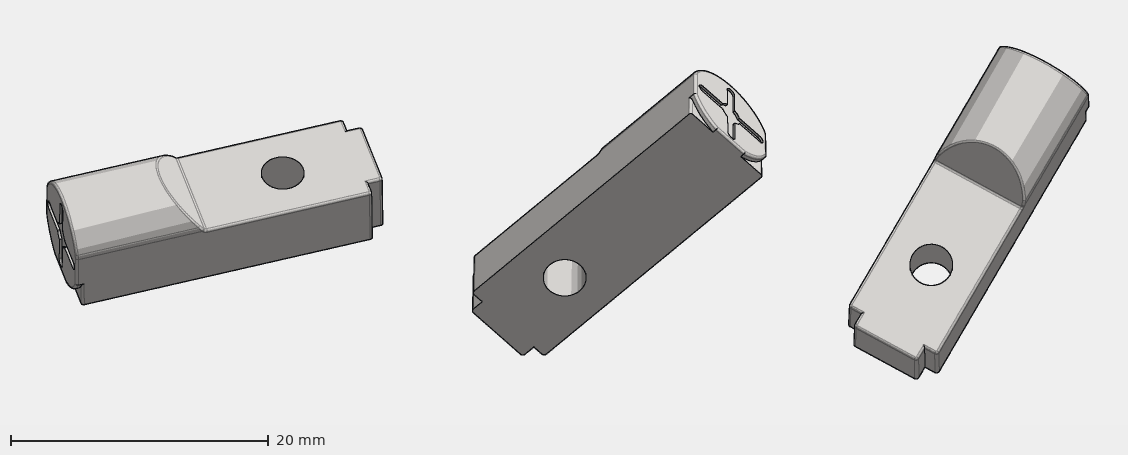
import cadquery as cq
import math

FOOT_WIDTH = 8.04
LENGTH = 25.32
HEIGHT = 8.29
DRAFT_ANGLE = 0.5

TONGUE_WIDTH = 5.76
TONGUE_LENGTH = 1.2
HOLE_DIAMETER = 3.32
HOLE_TO_TONGUE_END = 7.32

DECK_HEIGHT = 5.38
RAMP_START = 14.75
RAMP_ANGLE = 49.0

HEAD_CENTRE_HEIGHT = 4.0
HEAD_RADIUS = HEIGHT - HEAD_CENTRE_HEIGHT
CORNER_POCKET_DEPTH = 0.5

CROSS_SPAN = 7.1
SLOT_WIDTH = 0.8
CROSS_HUB_DIAMETER = 2.0
CROSS_DEPTH = 0.2

EDGE_RADIUS = 0.2
CORNER_RADIUS = 0.25
FRONT_EDGE_RADIUS = 0.2
SHOULDER_RADIUS = 1.0

TONGUE_END = HOLE_TO_TONGUE_END
SHOULDER = TONGUE_END - TONGUE_LENGTH
FRONT = TONGUE_END - LENGTH
RAMP_FOOT = TONGUE_END - RAMP_START
RAMP_TOP = RAMP_FOOT - (HEIGHT - DECK_HEIGHT) / math.tan(math.radians(RAMP_ANGLE))
DRAFT_SLOPE = math.tan(math.radians(DRAFT_ANGLE))
CROSS_FACE = FRONT + HEAD_CENTRE_HEIGHT * DRAFT_SLOPE
POCKET_BACK = FRONT + CORNER_POCKET_DEPTH
CLEARANCE = 1.0


def near(x, y, z):
    return cq.selectors.NearestToPointSelector((x, y, z))


def arched_bar():
    """Bar along Y: drafted side walls blended into a round top."""
    half = FOOT_WIDTH / 2
    bar = cq.Workplane("XZ", origin=(0, TONGUE_END, 0))
    half_top = half - HEIGHT * DRAFT_SLOPE
    walls = [(-half, 0), (half, 0), (half_top, HEIGHT), (-half_top, HEIGHT)]
    bar = bar.polyline(walls).close().extrude(LENGTH)
    bar = bar.cut(arch_waste())
    edge_height = HEAD_CENTRE_HEIGHT + math.sqrt(HEAD_RADIUS**2 - half**2)
    middle = (FRONT + TONGUE_END) / 2
    for x in (-half, half):
        bar = bar.edges(near(x, middle, edge_height)).fillet(SHOULDER_RADIUS)
    return bar


def head_cylinder(start, end):
    """Round bar along Y that shapes the head, between two Y positions."""
    plane = cq.Workplane("XZ", origin=(0, end, HEAD_CENTRE_HEIGHT))
    return plane.circle(HEAD_RADIUS).extrude(end - start)


def box_between(low, high):
    size = [b - a for a, b in zip(low, high)]
    return cq.Workplane("XY").box(*size, centered=False).translate(low)


def arch_waste():
    """Material above the head centre and outside the round head."""
    wide = FOOT_WIDTH / 2 + CLEARANCE
    start = FRONT - CLEARANCE
    end = TONGUE_END + CLEARANCE
    upper = box_between((-wide, start, HEAD_CENTRE_HEIGHT), (wide, end, HEIGHT + CLEARANCE))
    return upper.cut(head_cylinder(start - CLEARANCE, end + CLEARANCE))


def side_profile():
    """Outline along the length: drafted ends, low deck and ramp up to the head."""
    profile = [
        (FRONT, 0),
        (TONGUE_END, 0),
        (TONGUE_END - DECK_HEIGHT * DRAFT_SLOPE, DECK_HEIGHT),
        (RAMP_FOOT, DECK_HEIGHT),
        (RAMP_TOP, HEIGHT),
        (FRONT + HEIGHT * DRAFT_SLOPE, HEIGHT),
    ]
    return cq.Workplane("YZ").polyline(profile).close().extrude(FOOT_WIDTH, both=True)


def tongue_notch(side):
    """Drafted corner block beside the tongue, widening upward."""
    width = FOOT_WIDTH - TONGUE_WIDTH
    length = 2 * TONGUE_LENGTH
    growth = 2 * HEIGHT * DRAFT_SLOPE
    centre = (side * FOOT_WIDTH / 2, SHOULDER + TONGUE_LENGTH)
    notch = cq.Workplane("XY").center(*centre).rect(width, length)
    return notch.workplane(offset=HEIGHT).rect(width + growth, length + growth).loft()


def corner_pocket_waste():
    """Lower front corners outside the round head."""
    wide = FOOT_WIDTH / 2 + CLEARANCE
    start = FRONT - CLEARANCE
    lower = box_between((-wide, start, -CLEARANCE), (wide, POCKET_BACK, HEAD_CENTRE_HEIGHT))
    return lower.cut(head_cylinder(start - CLEARANCE, POCKET_BACK + CLEARANCE))


def cross_recess():
    """Two crossed round-ended slots and a round hub, sunk in the front face."""
    plane = cq.Workplane("XZ", origin=(0, CROSS_FACE + CROSS_DEPTH, HEAD_CENTRE_HEIGHT))
    depth = CROSS_DEPTH + CLEARANCE
    recess = plane.circle(CROSS_HUB_DIAMETER / 2).extrude(depth)
    for angle in (0, 90):
        recess = recess.union(plane.slot2D(CROSS_SPAN, SLOT_WIDTH, angle).extrude(depth))
    return recess


def edges_inside(body, low, high):
    """Edges whose centres lie in the box between two corners."""
    return body.edges(cq.selectors.BoxSelector(low, high))


def round_rear_corners(body):
    """Upright convex corners of the tongue and of the shoulders."""
    for side in (-1, 1):
        for x, y in ((FOOT_WIDTH / 2, SHOULDER), (TONGUE_WIDTH / 2, TONGUE_END)):
            body = body.edges(near(side * x, y, DECK_HEIGHT / 2)).fillet(CORNER_RADIUS)
    return body


def round_front(body):
    """Rim of the front face and the upright corners behind the pockets."""
    for side in (-1, 1):
        body = body.edges(near(side * FOOT_WIDTH / 2, POCKET_BACK, 0)).fillet(EDGE_RADIUS)
    rim = edges_inside(
        body,
        (-FOOT_WIDTH, FRONT - CLEARANCE, -CLEARANCE),
        (FOOT_WIDTH, FRONT + FRONT_EDGE_RADIUS, HEIGHT + CLEARANCE),
    )
    return rim.fillet(FRONT_EDGE_RADIUS)


def round_deck_and_ramp(body):
    """Foot of the ramp, then the rim of the deck and ramp together."""
    body = body.edges(near(0, RAMP_FOOT, DECK_HEIGHT)).fillet(CORNER_RADIUS)
    rim = edges_inside(
        body,
        (-FOOT_WIDTH, RAMP_TOP, DECK_HEIGHT - EDGE_RADIUS / 2),
        (FOOT_WIDTH, TONGUE_END, HEIGHT + CLEARANCE),
    )
    return rim.fillet(EDGE_RADIUS)


def lever_body():
    body = arched_bar().intersect(side_profile())
    body = body.cut(corner_pocket_waste())
    for side in (-1, 1):
        body = body.cut(tongue_notch(side))
    body = round_rear_corners(body)
    body = round_deck_and_ramp(body)
    body = round_front(body)
    body = body.cut(cross_recess())
    hole = cq.Workplane("XY").circle(HOLE_DIAMETER / 2).extrude(HEIGHT)
    return body.cut(hole)


body = lever_body()
result = cq.Compound.makeCompound([body.val()])